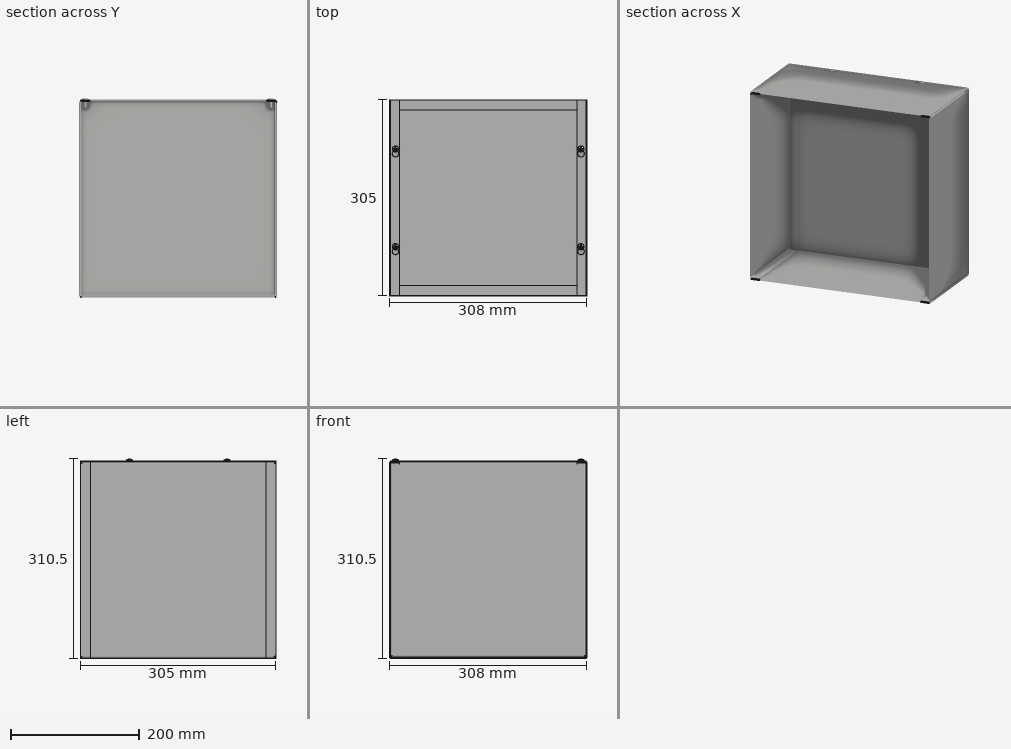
import cadquery as cq
import math

box_width = 308.0
box_depth = 305.0
total_height = 310.5

sheet = 1.5
bend_radius = 3.0
flange_width = 16.0

lid_width = 305.0
lid_front_setback = 0.3

screw_x = 144.5
screw_y = 76.0
head_diameter = 9.5
head_height = 2.8
head_rim_height = 1.0
recess_length = 7.0
recess_width = 1.0
recess_depth = 1.2
shank_diameter = 3.7
shank_length = 12.5

keyhole_diameter = 10.2
keyhole_slot_width = 4.0
keyhole_offset = 7.5

inner_radius = bend_radius - sheet
lid_top = total_height - head_height
box_top = lid_top - sheet
flange_underside = box_top - sheet
inner_width = box_width - 2 * sheet
opening_width = box_width - 2 * flange_width
front = -box_depth / 2
screw_points = [(x, y) for x in (-screw_x, screw_x) for y in (-screw_y, screw_y)]


def block(width, y_start, y_end, z_start, z_end):
    """Box centred in X between two Y and two Z positions."""
    size = (width, y_end - y_start, z_end - z_start)
    return cq.Workplane("XY").box(*size, centered=(True, False, False)).translate((0, y_start, z_start))


def wrapper_cavity():
    """Space inside the folded wrapper, with the rounded insides of its bends."""
    cavity = block(inner_width, front, -front, sheet, flange_underside)
    return cavity.edges("|Y").fillet(inner_radius)


def make_wrapper():
    """Floor, both sides and the two side rim flanges, folded from one sheet."""
    outside = block(box_width, front, -front, 0, box_top).edges("|Y").fillet(bend_radius)
    opening = block(opening_width, front, -front, flange_underside, box_top)
    screw_holes = (
        cq.Workplane("XY", origin=(0, 0, flange_underside))
        .pushPoints(screw_points)
        .circle(shank_diameter / 2)
        .extrude(sheet)
    )
    return outside.cut(wrapper_cavity()).cut(opening).cut(screw_holes)


def make_front_panel():
    """Front wall with flanges folded inward on all four sides, the top one between the rim flanges."""
    flange_end = front + flange_width
    wall_top = box_top - 2 * bend_radius

    shell = block(inner_width, front, flange_end, sheet, flange_underside)
    shell = shell.faces("<Y").edges("|Z or <Z").fillet(bend_radius)
    hollow = block(inner_width - 2 * sheet, front + sheet, flange_end, 2 * sheet, flange_underside)
    hollow = hollow.faces("<Y").edges("|Z or <Z").fillet(inner_radius)
    top_gap = block(opening_width, front, flange_end, wall_top, flange_underside)
    pan = shell.cut(hollow).intersect(wrapper_cavity()).cut(top_gap)

    bend = block(opening_width, front, flange_end, wall_top, box_top)
    bend = bend.faces("<Y").edges(">Z").fillet(bend_radius)
    under_bend = block(opening_width, front + sheet, flange_end, wall_top, flange_underside)
    under_bend = under_bend.faces("<Y").edges(">Z").fillet(inner_radius)
    return pan.union(bend.cut(under_bend))


def make_lid():
    """Flat plate with a keyhole at each screw."""
    plate = block(lid_width, front + lid_front_setback, -front, box_top, lid_top)
    for x, y in screw_points:
        keyhole = cq.Workplane("XY", origin=(x, y, box_top))
        narrow_end = keyhole.circle(keyhole_slot_width / 2).extrude(sheet)
        slot = keyhole.center(0, -keyhole_offset / 2).rect(keyhole_slot_width, keyhole_offset).extrude(sheet)
        large_end = keyhole.center(0, -keyhole_offset).circle(keyhole_diameter / 2).extrude(sheet)
        plate = plate.cut(narrow_end).cut(slot).cut(large_end)
    return plate


def make_screw(x, y):
    """Domed screw with a cross recess, its head resting on the lid."""
    head_radius = head_diameter / 2
    dome_rise = head_height - head_rim_height
    dome_radius = (head_radius**2 + dome_rise**2) / (2 * dome_rise)
    half_way = head_radius / 2
    half_way_height = head_height - dome_radius + math.sqrt(dome_radius**2 - half_way**2)
    screw = (
        cq.Workplane("XZ")
        .moveTo(0, -shank_length)
        .lineTo(shank_diameter / 2, -shank_length)
        .lineTo(shank_diameter / 2, 0)
        .lineTo(head_radius, 0)
        .lineTo(head_radius, head_rim_height)
        .threePointArc((half_way, half_way_height), (0, head_height))
        .close()
        .revolve(360, (0, 0, 0), (0, 1, 0))
    )
    recess = cq.Workplane("XY", origin=(0, 0, head_height - recess_depth))
    for length_x, length_y in ((recess_length, recess_width), (recess_width, recess_length)):
        screw = screw.cut(recess.rect(length_x, length_y).extrude(recess_depth))
    return screw.translate((x, y, lid_top))


wrapper = make_wrapper()
front_panel = make_front_panel()
back_panel = front_panel.mirror("XZ")
lid = make_lid()
screws = [make_screw(x, y) for x, y in screw_points]

result = cq.Compound.makeCompound(
    [
        wrapper.val(),
        front_panel.val(),
        back_panel.val(),
        lid.val(),
        *[screw.val() for screw in screws],
    ]
)